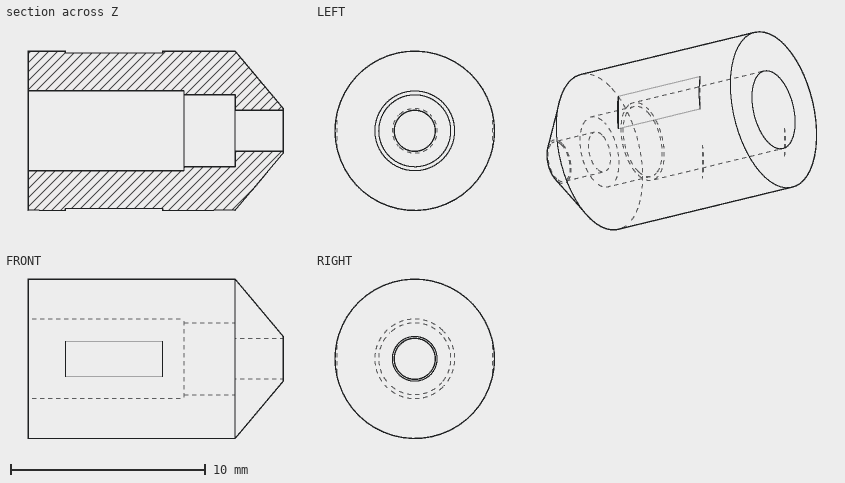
import cadquery as cq
import math

body_diameter = 8.2
total_length = 13.11
tip_diameter = 2.3
cone_half_angle = 50.0
body_radius = body_diameter / 2
tip_radius = tip_diameter / 2
cone_length = (body_radius - tip_radius) / math.tan(math.radians(cone_half_angle))
shoulder_x = total_length - cone_length

entry_diameter = 4.1
middle_diameter = 3.7
nozzle_diameter = 2.1
entry_depth = 8.0
middle_depth = shoulder_x

across_flats = 8.0
flat_length = 5.0
flat_start_x = 1.91


def make_body():
    """Cylinder ending in a truncated cone, revolved about the X axis."""
    half_profile = [
        (0, 0),
        (0, body_radius),
        (shoulder_x, body_radius),
        (total_length, tip_radius),
        (total_length, 0),
    ]
    return cq.Workplane("XY").polyline(half_profile).close().revolve(360, (0, 0, 0), (1, 0, 0))


def make_bore(diameter, depth):
    """Round cutter that enters the open end along the axis."""
    return cq.Workplane("YZ").circle(diameter / 2).extrude(depth)


def make_flat_cutter(side):
    """Block outside the wrench flat; side is -1 for -Y and +1 for +Y."""
    flat_center_x = flat_start_x + flat_length / 2
    block_center_y = side * (across_flats + body_diameter) / 2
    return cq.Workplane("XY").box(flat_length, body_diameter, body_diameter).translate(
        (flat_center_x, block_center_y, 0)
    )


result = make_body()

bore_steps = [
    (entry_diameter, entry_depth),
    (middle_diameter, middle_depth),
    (nozzle_diameter, total_length),
]
for diameter, depth in bore_steps:
    result = result.cut(make_bore(diameter, depth))

for side in (-1, 1):
    result = result.cut(make_flat_cutter(side))